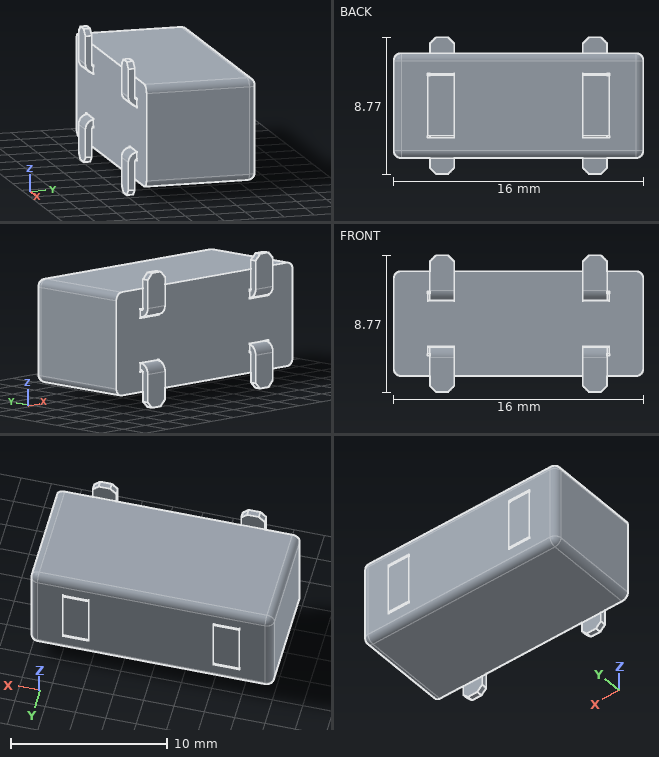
import cadquery as cq

housing_length = 16.0
housing_depth = 7.35
housing_height = 6.74
edge_radius = 0.5

lead_span = 8.77
lead_drop = 0.53
lead_width = 1.57
lead_inner_x = 4.11
sheet_thickness = 0.43
bend_outer_radius = 0.64
bend_inner_radius = bend_outer_radius - sheet_thickness
tip_chamfer = 0.4
leg_inner_z = 1.5
leg_outer_z = leg_inner_z + sheet_thickness
shoulder_width = 0.15
shoulder_depth = 0.32

leg_width = lead_width + shoulder_width
slot_inner_clearance = 0.05
slot_height = 0.6
slot_inner_z = leg_inner_z - slot_inner_clearance

SIDES = (-1, 1)


def box_between(x_range, y_range, z_range):
    """Axis-aligned box given by its two limits along each axis."""
    (x0, x1), (y0, y1), (z0, z1) = x_range, y_range, z_range
    return cq.Workplane(cq.Solid.makeBox(x1 - x0, y1 - y0, z1 - z0, cq.Vector(x0, y0, z0)))


def span(side, near, far):
    """Ordered limits of a stretch from near to far on one side of the origin."""
    return tuple(sorted((side * near, side * far)))


def leg_x_range(x_side):
    return span(x_side, lead_inner_x, lead_inner_x + leg_width)


def bridge(x_side):
    """Flat strip, flush with the back face, that reaches from one leg to the other."""
    y_range = (housing_depth - sheet_thickness, housing_depth)
    return box_between(leg_x_range(x_side), y_range, (-leg_inner_z, leg_inner_z))


def make_housing():
    body = cq.Workplane("XY").box(housing_length, housing_depth, housing_height)
    body = body.translate((0, housing_depth / 2, 0))
    body = body.edges("|Y").fillet(edge_radius)
    body = body.faces(">Y").edges().fillet(edge_radius)
    for x_side in SIDES:
        for z_side in SIDES:
            z_range = span(z_side, slot_inner_z, slot_inner_z + slot_height)
            body = body.cut(box_between(leg_x_range(x_side), (0, housing_depth), z_range))
        body = body.cut(bridge(x_side))
    return body.solids()


def make_lead():
    """Upper right lead: a short straight stem, a quarter bend and a flat foot with a chamfered tip."""
    bend_center_y = bend_outer_radius - lead_drop
    bend_center_z = leg_inner_z + bend_outer_radius
    tip_z = lead_span / 2
    lead = (
        cq.Workplane("YZ", origin=(lead_inner_x, 0, 0))
        .moveTo(shoulder_depth, leg_inner_z)
        .lineTo(bend_center_y, leg_inner_z)
        .radiusArc((-lead_drop, bend_center_z), bend_outer_radius)
        .lineTo(-lead_drop, tip_z)
        .lineTo(-lead_drop + sheet_thickness, tip_z)
        .lineTo(-lead_drop + sheet_thickness, bend_center_z)
        .radiusArc((bend_center_y, leg_outer_z), -bend_inner_radius)
        .lineTo(shoulder_depth, leg_outer_z)
        .close()
        .extrude(lead_width)
    )
    return lead.faces(">Z").edges("|Y").chamfer(tip_chamfer)


def make_clip(x_side):
    """U-shaped clip: two legs joined by the bridge at the back, with a bent lead on each leg."""
    upper_right_lead = make_lead()
    lead = upper_right_lead if x_side > 0 else upper_right_lead.mirror("YZ")
    clip = bridge(x_side)
    for z_side in SIDES:
        z_range = span(z_side, leg_inner_z, leg_outer_z)
        clip = clip.union(box_between(leg_x_range(x_side), (shoulder_depth, housing_depth), z_range))
        clip = clip.union(lead if z_side > 0 else lead.mirror("XY"))
    return clip.solids()


housing = make_housing()
clips = [make_clip(x_side) for x_side in SIDES]
result = cq.Compound.makeCompound([housing.val(), *[clip.val() for clip in clips]])